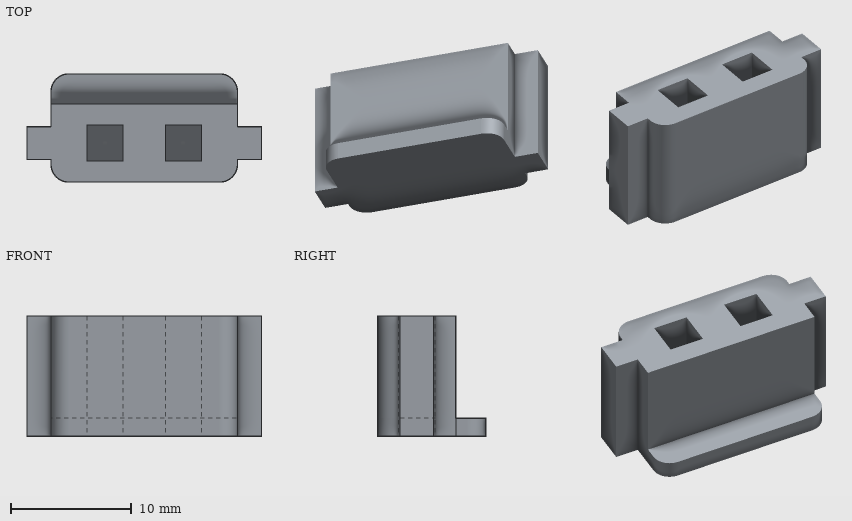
import cadquery as cq

housing_length = 15.5
housing_depth = 6.5
total_height = 10.0
ear_reach = 2.0
ear_width = 2.75
corner_radius = 1.5

foot_height = 1.5
total_depth = 9.0
lip_depth = total_depth - housing_depth

socket_size = 3.0
socket_gap = 3.5
socket_pitch = socket_size + socket_gap
socket_centers = [(-socket_pitch / 2, 0), (socket_pitch / 2, 0)]

rear_face_y = housing_depth / 2


def make_housing_stage(bottom, height):
    """One layer of the housing outline, pierced by both sockets."""
    level = cq.Workplane("XY").workplane(offset=bottom)
    block = level.rect(housing_length, housing_depth).extrude(height)
    block = block.edges("|Z and <Y").fillet(corner_radius)
    ears = level.rect(housing_length + 2 * ear_reach, ear_width).extrude(height)
    sockets = level.pushPoints(socket_centers).rect(socket_size, socket_size).extrude(height)
    return block.union(ears).cut(sockets)


def make_housing():
    """Foot and upper stage as one solid; skipping the clean-up keeps the seam between them."""
    foot = make_housing_stage(0, foot_height)
    upper = make_housing_stage(foot_height, total_height - foot_height)
    return foot.union(upper, clean=False)


def make_rear_lip():
    """Low strip along the rear of the housing, with rounded rear corners."""
    lip = cq.Workplane("XY").center(0, rear_face_y + lip_depth / 2)
    lip = lip.rect(housing_length, lip_depth).extrude(foot_height)
    return lip.edges("|Z and >Y").fillet(corner_radius)


def make_socket_plug(center):
    """Square plug that forms the floor of one socket."""
    return cq.Workplane("XY").center(*center).rect(socket_size, socket_size).extrude(foot_height)


housing = make_housing()
rear_lip = make_rear_lip()
socket_plugs = [make_socket_plug(center) for center in socket_centers]

result = cq.Compound.makeCompound([
    *housing.solids().vals(),
    *rear_lip.solids().vals(),
    *[plug.val() for plug in socket_plugs],
])